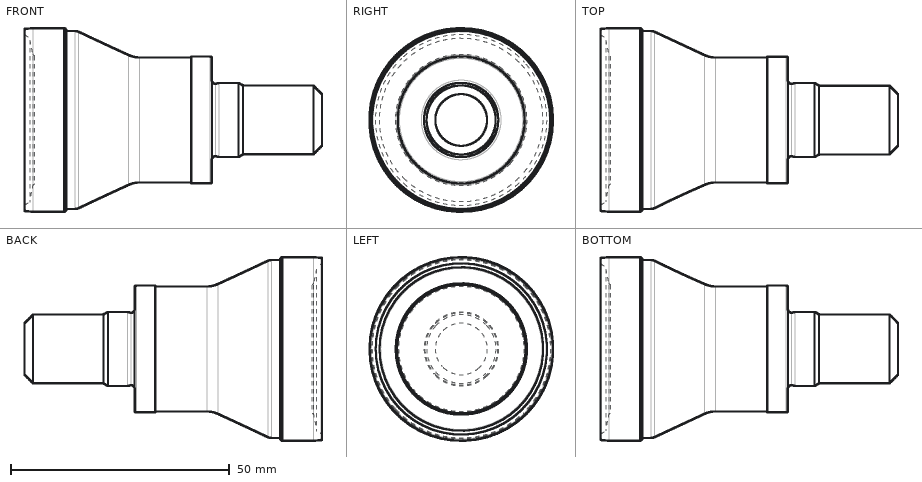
import cadquery as cq
import math


cap_length = 9.65
cap_radius = 42.0 / 2
cap_front_taper_length = 1.9
cap_front_taper_depth = 0.15
cap_front_round = 0.3
cap_rear_chamfer = 0.4
cap_rear_ease_length = 0.2
cap_rear_ease_depth = 0.1

mouth_radius = 19.6
mouth_chamfer = 0.2
wall_end_radius = 18.7
wall_end_depth = 1.2
cone_outer_radius = 18.4
cone_inner_radius = 15.0
cone_end_depth = 1.9
floor_radius = 14.7
floor_depth = 2.25

flange_radius = 40.7 / 2
flare_start = 11.55
flare_angle = math.radians(25)
flange_round = 2.0
neck_radius = 28.6 / 2
neck_round = 6.0
collar_radius = 29.0 / 2
collar_start = 38.0
collar_end = 42.8
collar_round = 0.4

seat_radius = 17 / 2
relief_radius = 8.3
relief_fillet = 0.8
relief_ramp_length = 0.8
seat_end = 48.9
seat_ramp_length = 1.0
shank_radius = 15.75 / 2
shank_end = 67.95
shank_chamfer = 2.0


def turn(profile):
    """Revolve a closed (x, radius) profile about the X axis."""
    return profile.close().revolve(360, (0, 0, 0), (1, 0, 0))


def arc_mid(center_x, center_r, radius, angle):
    """Point on a circle, with the angle measured from the radial direction towards +X."""
    return (center_x + radius * math.sin(angle), center_r + radius * math.cos(angle))


def make_cap():
    taper_radius = cap_radius - cap_front_taper_depth
    round_middle = arc_mid(cap_front_round, taper_radius - cap_front_round, cap_front_round, -math.pi / 4)
    ease_end = cap_length - cap_rear_chamfer
    ease_radius = cap_radius - cap_rear_ease_depth
    profile = (
        cq.Workplane("XY")
        .moveTo(floor_depth, 0)
        .lineTo(floor_depth, floor_radius)
        .lineTo(cone_end_depth, cone_inner_radius)
        .lineTo(wall_end_depth, cone_outer_radius)
        .lineTo(wall_end_depth, wall_end_radius)
        .lineTo(mouth_chamfer, mouth_radius - mouth_chamfer)
        .lineTo(0, mouth_radius)
        .lineTo(0, taper_radius - cap_front_round)
        .threePointArc(round_middle, (cap_front_round, taper_radius))
        .lineTo(cap_front_taper_length, cap_radius)
        .lineTo(ease_end - cap_rear_ease_length, cap_radius)
        .lineTo(ease_end, ease_radius)
        .lineTo(cap_length, ease_radius - cap_rear_chamfer)
        .lineTo(cap_length, 0)
    )
    return turn(profile)


def make_housing():
    flange_center_r = flange_radius - flange_round
    flange_mid = arc_mid(flare_start, flange_center_r, flange_round, flare_angle / 2)
    cone_start = arc_mid(flare_start, flange_center_r, flange_round, flare_angle)

    neck_center_r = neck_radius + neck_round
    cone_end_r = neck_center_r - neck_round * math.cos(flare_angle)
    cone_end_x = cone_start[0] + (cone_start[1] - cone_end_r) / math.tan(flare_angle)
    neck_start = cone_end_x + neck_round * math.sin(flare_angle)
    neck_mid = arc_mid(neck_start, neck_center_r, -neck_round, flare_angle / 2)

    collar_step = collar_radius - neck_radius
    collar_mid = arc_mid(collar_end - collar_round, collar_radius - collar_round, collar_round, math.pi / 4)
    relief_start = collar_end + relief_fillet
    relief_mid = arc_mid(relief_start, relief_radius + relief_fillet, -relief_fillet, math.pi / 4)

    profile = (
        cq.Workplane("XY")
        .moveTo(cap_length, 0)
        .lineTo(cap_length, flange_radius)
        .lineTo(flare_start, flange_radius)
        .threePointArc(flange_mid, cone_start)
        .lineTo(cone_end_x, cone_end_r)
        .threePointArc(neck_mid, (neck_start, neck_radius))
        .lineTo(collar_start, neck_radius)
        .lineTo(collar_start + collar_step, collar_radius)
        .lineTo(collar_end - collar_round, collar_radius)
        .threePointArc(collar_mid, (collar_end, collar_radius - collar_round))
        .lineTo(collar_end, relief_radius + relief_fillet)
        .threePointArc(relief_mid, (relief_start, relief_radius))
        .lineTo(relief_start + relief_ramp_length, seat_radius)
        .lineTo(seat_end, seat_radius)
        .lineTo(seat_end + seat_ramp_length, shank_radius)
        .lineTo(shank_end - shank_chamfer, shank_radius)
        .lineTo(shank_end, shank_radius - shank_chamfer)
        .lineTo(shank_end, 0)
    )
    return turn(profile)


cap = make_cap()
housing = make_housing()

result = cq.Compound.makeCompound([cap.val(), housing.val()])